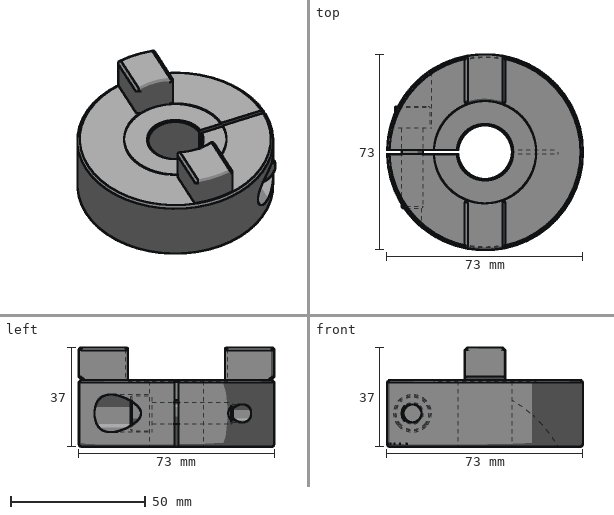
import cadquery as cq
import math

outer_radius = 36.5
hub_height = 25.0
bore_radius = 10.0
bore_chamfer = 0.5
rim_chamfer = 0.95
base_fillet = 1.3
recess_radius = 19.05
recess_depth = 0.4
slit_width = 1.5

saw_radius = 45.25
saw_center_x = -12.4
saw_center_z = -21.9

total_height = 37.0
jaw_width = 15.2
jaw_edge = 1.2
jaw_foot_bevel = 1.25
jaw_angles = (0, 180)

screw_x = -27.0
screw_z = hub_height / 2
shank_radius = 4.0
shank_length = 30.0
head_radius = 6.5
head_height = 2 * shank_radius
head_chamfer = 0.45
head_seat_y = 9.05
tip_chamfer = 0.65
tip_radius = shank_radius - tip_chamfer
counterbore_radius = 7.0


def make_jaw():
    """Jaw on the +Y side: a ring section trimmed to a bar with bevelled upper sides."""
    foot_z = hub_height - recess_depth
    jaw_height = total_height - foot_z
    bevel_start_z = hub_height + jaw_foot_bevel
    arc_inset = jaw_edge * (1 - math.sqrt(0.5))
    ring = (
        cq.Workplane("XZ")
        .moveTo(recess_radius, foot_z)
        .lineTo(outer_radius - jaw_foot_bevel, foot_z)
        .lineTo(outer_radius - jaw_foot_bevel, hub_height)
        .lineTo(outer_radius, bevel_start_z)
        .lineTo(outer_radius, total_height - jaw_edge)
        .threePointArc(
            (outer_radius - arc_inset, total_height - arc_inset),
            (outer_radius - jaw_edge, total_height),
        )
        .lineTo(recess_radius + jaw_edge, total_height)
        .threePointArc(
            (recess_radius + arc_inset, total_height - arc_inset),
            (recess_radius, total_height - jaw_edge),
        )
        .close()
        .revolve(360, (0, 0), (0, 1))
    )
    bar = (
        cq.Workplane("XY", origin=(0, outer_radius / 2, foot_z))
        .box(jaw_width, outer_radius, jaw_height, centered=(True, True, False))
        .edges("|Y and >Z")
        .chamfer(jaw_edge)
    )
    plan = (
        cq.Workplane("XY", origin=(0, 0, foot_z))
        .circle(outer_radius)
        .circle(recess_radius)
        .extrude(jaw_height)
        .intersect(
            cq.Workplane("XY", origin=(0, outer_radius / 2, foot_z))
            .box(jaw_width, outer_radius, jaw_height, centered=(True, True, False))
        )
        .edges("|Z")
        .fillet(jaw_edge)
    )
    return plan.intersect(ring).intersect(bar)


def screw_axis_plane(y):
    """Plane across the screw axis at the given Y, facing +Y."""
    return cq.Workplane(cq.Plane((screw_x, y, screw_z), xDir=(1, 0, 0), normal=(0, 1, 0)))


def make_screw():
    shank = (
        screw_axis_plane(head_seat_y - shank_length)
        .circle(shank_radius)
        .extrude(shank_length)
        .faces("<Y")
        .chamfer(tip_chamfer)
    )
    head = (
        screw_axis_plane(head_seat_y)
        .circle(head_radius)
        .extrude(head_height)
        .faces(">Y")
        .chamfer(head_chamfer)
    )
    return shank.union(head).solids()


def make_hub(screw):
    hub = cq.Workplane("XY").circle(outer_radius).extrude(hub_height)
    hub = hub.faces(">Z").edges().chamfer(rim_chamfer)
    hub = hub.faces("<Z").edges().fillet(base_fillet)

    recess_floor_z = hub_height - recess_depth
    recess = cq.Workplane("XY", origin=(0, 0, recess_floor_z)).circle(recess_radius).extrude(recess_depth)
    hub = hub.cut(recess)

    jaw = make_jaw()
    for angle in jaw_angles:
        hub = hub.union(jaw.rotate((0, 0, 0), (0, 0, 1), angle))

    bore = cq.Workplane("XY").circle(bore_radius).extrude(recess_floor_z)
    mouth = (
        cq.Workplane("XY", origin=(0, 0, recess_floor_z))
        .circle(bore_radius + bore_chamfer)
        .workplane(offset=-bore_chamfer)
        .circle(bore_radius)
        .loft()
    )
    hub = hub.cut(bore).cut(mouth)

    slit = cq.Workplane("XY", origin=(-outer_radius / 2, 0, 0)).box(
        outer_radius, slit_width, hub_height, centered=(True, True, False)
    )
    hub = hub.cut(slit)

    saw_disc = (
        cq.Workplane("XZ", origin=(saw_center_x, 0, saw_center_z))
        .circle(saw_radius)
        .extrude(slit_width / 2, both=True)
    )
    cut_side = cq.Workplane("XY", origin=(outer_radius / 2, 0, 0)).box(
        outer_radius, slit_width, hub_height, centered=(True, True, False)
    )
    hub = hub.cut(saw_disc.intersect(cut_side))

    counterbore = screw_axis_plane(head_seat_y).circle(counterbore_radius).extrude(outer_radius)
    exit_hole = screw_axis_plane(-outer_radius).circle(tip_radius).extrude(outer_radius)
    return hub.cut(counterbore).cut(exit_hole).cut(screw).solids()


clamping_screw = make_screw()
hub = make_hub(clamping_screw)

result = cq.Compound.makeCompound([hub.val(), clamping_screw.val()])